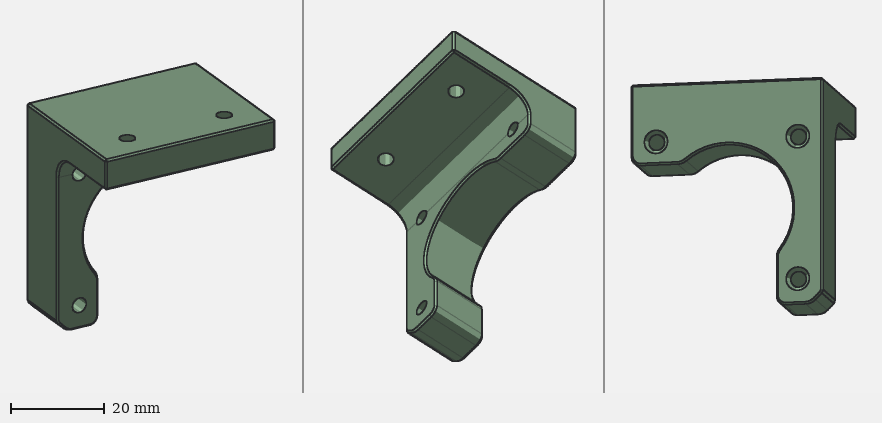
import cadquery as cq
import math

length = 34.0
width = 41.95
height = 49.1

plate_thickness = 13.2
flange_thickness = 7.15
inner_radius = 5.15

arm_depth = 17.6
leg_width = 10.2
corner_radius = 2.0
bevel = 2.55
bore_radius = 14.35
blend_radius = 3.0
edge_chamfer = 0.45

bolt_spacing = 31.0
bolt_inset = (width - bolt_spacing) / 2
bolt_top_offset = 12.6
hole_diameter = 3.4
countersink_diameter = 5.05

flange_hole_x = 26.5
flange_hole_start = 9.7
flange_hole_spacing = 23.85

bore_y = width / 2
bore_z = height - bolt_top_offset - bolt_spacing / 2
arm_bottom = height - arm_depth
flange_bottom = height - flange_thickness


def make_profile():
    """L-shaped side profile, extruded across the full width."""
    return (
        cq.Workplane("XZ")
        .moveTo(0, 0)
        .lineTo(plate_thickness, 0)
        .lineTo(plate_thickness, flange_bottom - inner_radius)
        .radiusArc((plate_thickness + inner_radius, flange_bottom), inner_radius)
        .lineTo(length, flange_bottom)
        .lineTo(length, height)
        .lineTo(0, height)
        .close()
        .extrude(-width)
    )


def make_outline():
    """Arm-and-leg outline with the open bore, extruded along the full length."""
    arm_mouth_y = bore_y + math.sqrt(bore_radius**2 - (bore_z - arm_bottom) ** 2)
    leg_mouth_z = bore_z - math.sqrt(bore_radius**2 - (bore_y - leg_width) ** 2)
    diagonal = bore_radius / math.sqrt(2)
    outline = (
        cq.Workplane("YZ")
        .moveTo(bevel, 0)
        .lineTo(leg_width, 0)
        .lineTo(leg_width, leg_mouth_z)
        .threePointArc((bore_y - diagonal, bore_z + diagonal), (arm_mouth_y, arm_bottom))
        .lineTo(width, arm_bottom)
        .lineTo(width, height)
        .lineTo(0, height)
        .lineTo(0, bevel)
        .close()
        .extrude(length)
    )

    def lengthwise_edge(y, z):
        return cq.selectors.NearestToPointSelector((length / 2, y, z))

    for y, z in [(leg_width, 0), (width, arm_bottom)]:
        outline = outline.edges(lengthwise_edge(y, z)).fillet(corner_radius)
    for y, z in [(leg_width, leg_mouth_z), (arm_mouth_y, arm_bottom), (bevel, 0)]:
        outline = outline.edges(lengthwise_edge(y, z)).fillet(blend_radius)
    return outline


def chamfer_outer_edges(body):
    """Break the edges of the plate faces, the flange end, the top and both sides."""
    front = body.faces("<X").edges()
    end = body.faces(">X").edges()
    top = body.faces(">Z").edges()
    side = body.faces("<Y").edges()
    far_side = body.faces(">Y").edges("not(|X and <Z)")
    plate_back_point = (plate_thickness, bolt_inset, height / 2)
    plate_back_face = body.faces(cq.selectors.NearestToPointSelector(plate_back_point))
    plate_back = plate_back_face.edges("not(|Y and >Z)")
    edges = front.add(end).add(top).add(side).add(far_side).add(plate_back)
    return edges.chamfer(edge_chamfer)


def drill_bolt_holes(body):
    """Three 90 degree countersunk holes through the plate."""
    near_y = bolt_inset
    far_y = width - bolt_inset
    upper_z = height - bolt_top_offset
    lower_z = upper_z - bolt_spacing
    sink_depth = (countersink_diameter - hole_diameter) / 2
    for y, z in [(near_y, upper_z), (far_y, upper_z), (near_y, lower_z)]:
        axis_start = cq.Vector(0, y, z)
        axis = cq.Vector(1, 0, 0)
        drill = cq.Solid.makeCylinder(hole_diameter / 2, length, axis_start, axis)
        sink = cq.Solid.makeCone(
            countersink_diameter / 2, hole_diameter / 2, sink_depth, axis_start, axis
        )
        body = body.cut(cq.Workplane(drill)).cut(cq.Workplane(sink))
    return body


def drill_flange_holes(body):
    """Two plain vertical holes through the flange."""
    for y in (flange_hole_start, flange_hole_start + flange_hole_spacing):
        drill = cq.Workplane("XY").center(flange_hole_x, y).circle(hole_diameter / 2).extrude(height)
        body = body.cut(drill)
    return body


bracket = make_profile().intersect(make_outline())
bracket = chamfer_outer_edges(bracket)
bracket = drill_bolt_holes(bracket)
result = drill_flange_holes(bracket)